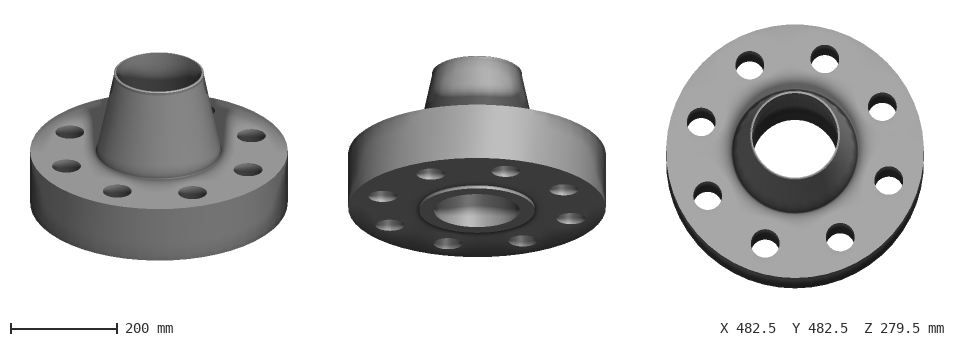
import cadquery as cq
import math

flange_diameter = 482.5
flange_thickness = 108.0
face_diameter = 216.0
face_height = 6.5
flange_top = face_height + flange_thickness

total_height = 279.5
hub_diameter = 235.0
hub_fillet = 3.0
stub_diameter = 168.5
stub_height = 6.5
bore_diameter = 160.5
weld_land = 2.0
bevel_angle = 37.5

bolt_circle_diameter = 368.0
bolt_count = 8
bolt_hole_diameter = 54.0


def neck_and_flange():
    """Revolve the half section of the whole body about Z."""
    face_radius = face_diameter / 2
    flange_radius = flange_diameter / 2
    hub_radius = hub_diameter / 2
    stub_radius = stub_diameter / 2
    bore_radius = bore_diameter / 2
    land_radius = bore_radius + weld_land
    bevel_height = (stub_radius - land_radius) * math.tan(math.radians(bevel_angle))
    section = [
        (bore_radius, 0),
        (face_radius, 0),
        (face_radius, face_height),
        (flange_radius, face_height),
        (flange_radius, flange_top),
        (hub_radius, flange_top),
        (stub_radius, total_height - stub_height),
        (stub_radius, total_height - bevel_height),
        (land_radius, total_height),
        (bore_radius, total_height),
    ]
    body = cq.Workplane("XZ").polyline(section).close().revolve(360, (0, 0), (0, 1))
    neck_root = cq.selectors.RadiusNthSelector(-2)
    return body.edges(neck_root).fillet(hub_fillet)


def bolt_holes():
    """Through holes evenly spaced on the bolt circle."""
    return (
        cq.Workplane("XY")
        .polarArray(bolt_circle_diameter / 2, 0, 360, bolt_count)
        .circle(bolt_hole_diameter / 2)
        .extrude(flange_top)
    )


result = neck_and_flange().cut(bolt_holes())